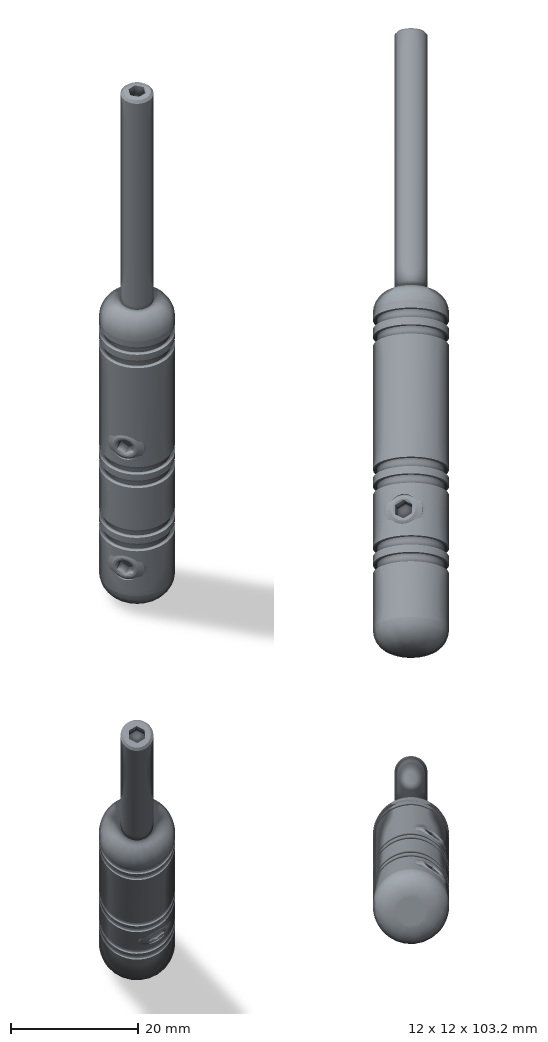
import cadquery as cq
import math

HOUSING_RADIUS = 6.0
HOUSING_HEIGHT = 60.0
END_ROUND = 3.6

GROOVE_RADIUS = 5.4
GROOVE_WIDTH = 1.5
RIB_WIDTH = 1.2
GROOVE_PITCH = GROOVE_WIDTH + RIB_WIDTH
GROOVES_PER_BAND = 2
GROOVE_BAND_BASES = [12.9, 26.0, 50.9]

SCREW_COUNT = 3
LOWEST_SCREW_HEIGHT = 9.2
SCREW_SPACING = 12.5
SCREW_RADIUS = 3.0
SCREW_FACE_RADIUS = 2.0
SCREW_CONE_ANGLE = math.radians(30)
SCREW_CHAMFER_WIDTH = SCREW_RADIUS - SCREW_FACE_RADIUS
SCREW_CHAMFER_DEPTH = SCREW_CHAMFER_WIDTH * math.tan(SCREW_CONE_ANGLE)
SCREW_HOLE_RADIUS = 2.5

ROD_RADIUS = 2.6
ROD_TOP = 103.2
ROD_BASE = LOWEST_SCREW_HEIGHT - SCREW_RADIUS
ROD_CHAMFER = 0.4
SCREW_LENGTH = HOUSING_RADIUS - ROD_RADIUS

HEX_SIDES = 6
ROD_HEX_FLATS = 2.5
SCREW_HEX_FLATS = 2.7
HEX_DEPTH = 2.1
LEAD_IN_RADIUS = 1.7
LEAD_IN_DEPTH = LEAD_IN_RADIUS * math.tan(SCREW_CONE_ANGLE)


def make_hex_socket(face, across_flats):
    """Hexagonal cutter going down from the face, with a corner on the face's own X axis."""
    across_corners = across_flats / math.cos(math.pi / HEX_SIDES)
    return cq.Workplane(face).polygon(HEX_SIDES, across_corners).extrude(-HEX_DEPTH)


def make_screw_face(index):
    """Outer face plane of a screw, flush with the housing, with its own X axis along Z."""
    side = -1 if index % 2 == 0 else 1
    height = LOWEST_SCREW_HEIGHT + index * SCREW_SPACING
    return cq.Plane(origin=(0, side * HOUSING_RADIUS, height), xDir=(0, 0, 1), normal=(0, side, 0))


def make_screw_blank(face):
    """Screw without its socket: a cylinder with a shallow cone around its face."""
    cone_base = cq.Workplane(face).workplane(offset=-SCREW_CHAMFER_DEPTH)
    shank = cone_base.circle(SCREW_RADIUS).extrude(SCREW_CHAMFER_DEPTH - SCREW_LENGTH)
    cone = cq.Solid.makeCone(
        SCREW_FACE_RADIUS, SCREW_RADIUS, SCREW_CHAMFER_DEPTH, face.origin, -face.zDir
    )
    return shank.union(cq.Workplane(cone))


def make_screw(face):
    socket = make_hex_socket(face, SCREW_HEX_FLATS)
    lead_in = cq.Solid.makeCone(LEAD_IN_RADIUS, 0, LEAD_IN_DEPTH, face.origin, -face.zDir)
    return make_screw_blank(face).cut(socket).cut(cq.Workplane(lead_in))


def make_rod_blank():
    return cq.Workplane("XY", origin=(0, 0, ROD_BASE)).circle(ROD_RADIUS).extrude(ROD_TOP - ROD_BASE)


def make_rod():
    top_face = cq.Plane(origin=(0, 0, ROD_TOP), xDir=(1, 0, 0), normal=(0, 0, 1))
    socket = make_hex_socket(top_face, ROD_HEX_FLATS)
    return make_rod_blank().faces(">Z").chamfer(ROD_CHAMFER).cut(socket)


def make_groove(base):
    ring = cq.Workplane("XY", origin=(0, 0, base)).circle(HOUSING_RADIUS).circle(GROOVE_RADIUS)
    return ring.extrude(GROOVE_WIDTH)


def make_housing(screw_faces):
    body = cq.Workplane("XY").circle(HOUSING_RADIUS).extrude(HOUSING_HEIGHT)
    body = body.faces("<Z or >Z").edges().fillet(END_ROUND)
    for band_base in GROOVE_BAND_BASES:
        for index in range(GROOVES_PER_BAND):
            body = body.cut(make_groove(band_base + index * GROOVE_PITCH))
    for face in screw_faces:
        mouth = cq.Workplane(face).circle(SCREW_HOLE_RADIUS).extrude(-SCREW_LENGTH)
        body = body.cut(mouth).cut(make_screw_blank(face))
    return body.cut(make_rod_blank())


screw_faces = [make_screw_face(index) for index in range(SCREW_COUNT)]
housing = make_housing(screw_faces)
rod = make_rod()
screws = [make_screw(face) for face in screw_faces]

result = cq.Compound.makeCompound([housing.val(), rod.val(), *[screw.val() for screw in screws]])